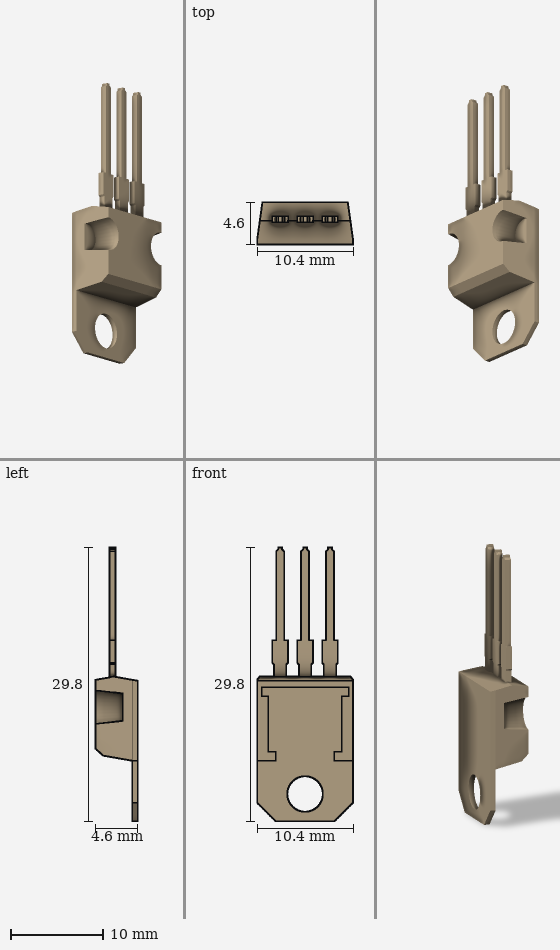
import cadquery as cq
import math


width = 10.4
depth = 4.6
height = 29.75

tab_thickness = 0.62
tab_corner_chamfer = 2.02
hole_diameter = 3.85
hole_height = 2.98
tab_top = 14.55
tab_head_width = 9.43
tab_web_width = 7.97
tab_neck_width = 6.35
tab_step_height = 0.98

housing_bottom = 6.57
ridge_height = 15.75
ridge_depth = 2.6
end_draft = math.tan(math.radians(10))
side_draft = math.tan(math.radians(8))
back_chamfer_depth = 0.83
back_chamfer_height = 0.77

notch_height = 12.4
notch_floor_depth = 1.65
notch_floor_radius = 1.52
notch_back_radius = 1.8

lead_pitch = 2.7
lead_front = 2.4
lead_thickness = 0.68
lead_width = 0.9
tip_width = 0.45
tip_height = 0.2
collar_width = 1.73
collar_top = 19.7
collar_bottom = 17.23
root_width = 1.37
root_embed = 0.6

back_half_width = width / 2 - (depth - tab_thickness) * side_draft


def mirrored_outline(right_side):
    """Closed XZ outline from its right-hand points, mirrored about X = 0."""
    left_side = [(-x, z) for x, z in reversed(right_side)]
    return cq.Workplane("XZ").polyline(right_side + left_side).close()


def make_tab():
    """Plate with a mounting hole, chamfered lower corners and a stepped upper end."""
    neck_top = housing_bottom + tab_step_height
    head_bottom = tab_top - tab_step_height
    right_side = [
        (width / 2 - tab_corner_chamfer, 0),
        (width / 2, tab_corner_chamfer),
        (width / 2, housing_bottom),
        (tab_neck_width / 2, housing_bottom),
        (tab_neck_width / 2, neck_top),
        (tab_web_width / 2, neck_top),
        (tab_web_width / 2, head_bottom),
        (tab_head_width / 2, head_bottom),
        (tab_head_width / 2, tab_top),
    ]
    plate = mirrored_outline(right_side).extrude(-tab_thickness)
    hole = (
        cq.Workplane("XZ")
        .center(0, hole_height)
        .circle(hole_diameter / 2)
        .extrude(-tab_thickness)
    )
    return plate.cut(hole)


def make_housing_block():
    """Housing without notches: its YZ profile trimmed by the tapering XY plan."""
    chamfer_start = depth - back_chamfer_depth
    chamfer_bottom = housing_bottom + (chamfer_start - tab_thickness) * end_draft
    profile = [
        (0, housing_bottom),
        (tab_thickness, housing_bottom),
        (chamfer_start, chamfer_bottom),
        (depth, chamfer_bottom + back_chamfer_height),
        (depth, ridge_height - (depth - ridge_depth) * end_draft),
        (ridge_depth, ridge_height),
        (0, ridge_height - ridge_depth * end_draft),
    ]
    block = cq.Workplane("YZ").polyline(profile).close().extrude(width / 2, both=True)
    plan = [
        (-width / 2, 0),
        (width / 2, 0),
        (width / 2, tab_thickness),
        (back_half_width, depth),
        (-back_half_width, depth),
        (-width / 2, tab_thickness),
    ]
    return block.intersect(cq.Workplane("XY").polyline(plan).close().extrude(height))


def make_notch(x):
    """Cone that opens toward the back face, with its axis along Y."""
    cone = cq.Solid.makeCone(
        notch_floor_radius,
        notch_back_radius,
        depth - notch_floor_depth,
        pnt=cq.Vector(x, notch_floor_depth, notch_height),
        dir=cq.Vector(0, 1, 0),
    )
    return cq.Workplane(cone)


def make_lead(x):
    """Flat lead with a root, a wider collar and a stepped, chamfered tip."""
    root_bottom = ridge_height - root_embed
    collar_chamfer = (collar_width - root_width) / 2
    tip_bottom = height - tip_height
    tip_chamfer = (lead_width - tip_width) / 2
    right_side = [
        (root_width / 2, root_bottom),
        (root_width / 2, collar_bottom - collar_chamfer),
        (collar_width / 2, collar_bottom),
        (collar_width / 2, collar_top),
        (lead_width / 2, collar_top),
        (lead_width / 2, tip_bottom - tip_chamfer),
        (tip_width / 2, tip_bottom),
        (tip_width / 2, height),
    ]
    lead = mirrored_outline(right_side).extrude(-lead_thickness)
    return lead.translate((x, lead_front, 0))


def make_housing(tab):
    """Housing and its leads as one solid, recessed to receive the tab."""
    housing = make_housing_block().cut(tab)
    for side in (-1, 1):
        housing = housing.cut(make_notch(side * back_half_width))
    for position in (-1, 0, 1):
        housing = housing.union(make_lead(position * lead_pitch))
    return housing


tab = make_tab()
housing = make_housing(tab)

result = cq.Compound.makeCompound([tab.val(), *housing.solids().vals()])